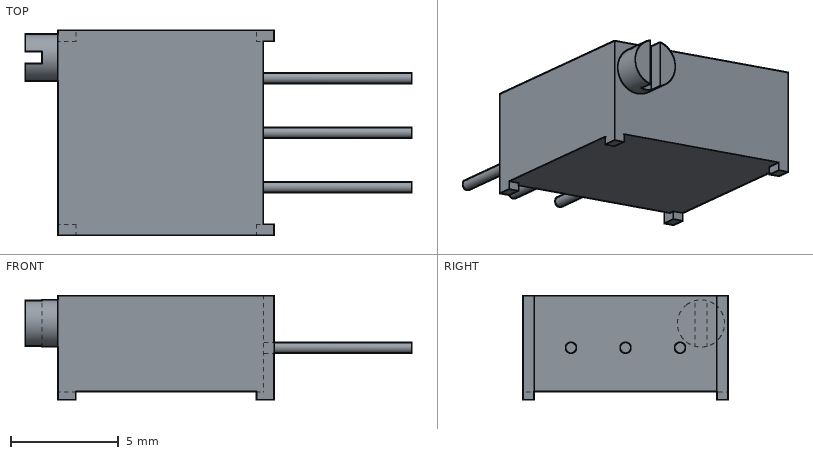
import cadquery as cq

body_side = 9.54
total_height = 4.83
foot_height = 0.38
foot_length = 0.83
wall_width = 0.52
tab_length = 0.5

screw_diameter = 2.2
screw_length = 1.53
screw_inset = 1.28
slot_width = 0.54
slot_depth = 0.77

pin_diameter = 0.5
pin_pitch = 2.53
pin_count = 3
total_length = 17.96
pin_length = total_length - screw_length - body_side


def block(x, y, z, length, width, height):
    """Box with its lowest corner at (x, y, z)."""
    return cq.Workplane("XY").box(length, width, height, centered=False).translate((x, y, z))


def rod(x, y, z, diameter, length):
    """Cylinder running from (x, y, z) toward +X."""
    return cq.Workplane("YZ", origin=(x, y, z)).circle(diameter / 2).extrude(length)


def make_housing():
    """Square block with full-height rear tabs and four corner feet."""
    outer_length = body_side + tab_length
    housing = block(0, 0, foot_height, body_side, body_side, total_height - foot_height)
    for y in (0, body_side - wall_width):
        housing = housing.union(block(body_side, y, 0, tab_length, wall_width, total_height))
        for x in (0, outer_length - foot_length):
            housing = housing.union(block(x, y, 0, foot_length, wall_width, total_height))
    return housing


def make_screw():
    """Round screw head with a vertical driver slot."""
    axis_y = body_side - screw_inset
    axis_z = total_height - screw_inset
    screw = rod(-screw_length, axis_y, axis_z, screw_diameter, screw_length)
    slot = block(
        -screw_length,
        axis_y - slot_width / 2,
        axis_z - screw_diameter / 2,
        slot_depth,
        slot_width,
        screw_diameter,
    )
    return screw.cut(slot)


result = make_housing().union(make_screw())
for index in range(pin_count):
    pin_y = body_side / 2 + (index - (pin_count - 1) / 2) * pin_pitch
    result = result.union(rod(body_side, pin_y, total_height / 2, pin_diameter, pin_length))